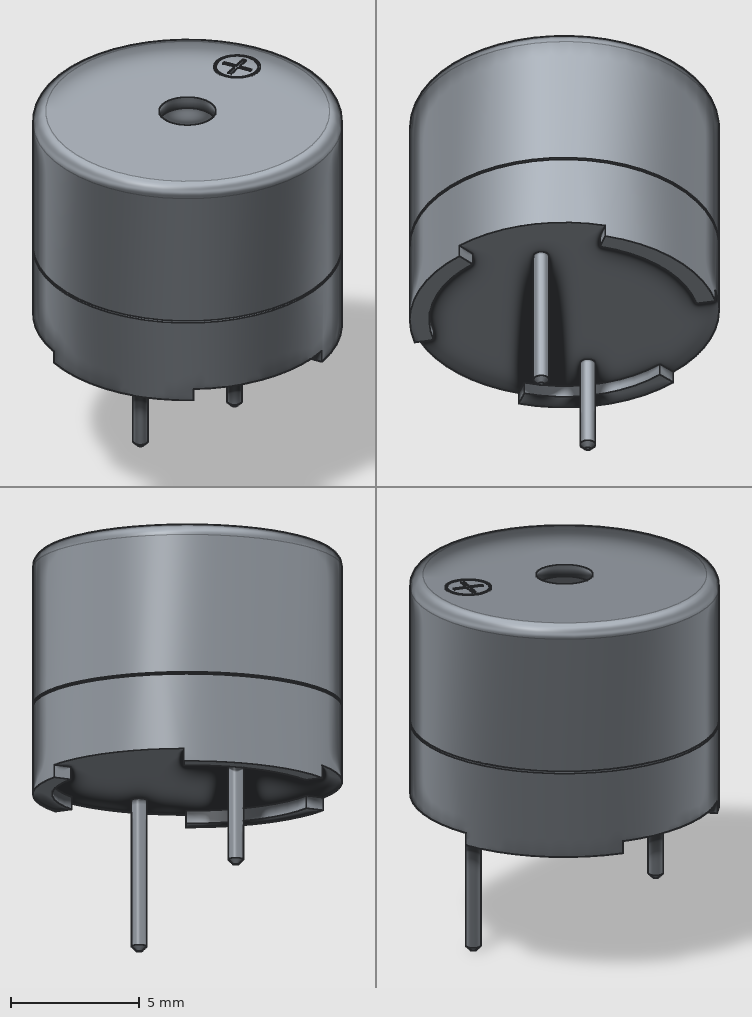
import cadquery as cq
import math

total_height = 15
body_diameter = 12
body_height = 9.5
top_edge_radius = 0.5

groove_diameter = 11.5
groove_bottom = 8.95
groove_width = 0.09

foot_count = 3
foot_height = 0.5
foot_inner_diameter = 10.5
foot_angle = 62
first_foot_center_angle = 30

sound_hole_diameter = 2.2
sound_hole_depth = 0.5

pin_diameter = 0.6
pin_offset = 3.8
pin_chamfer = 0.2
short_pin_tip = 2.0
pin_embed = 0.45

mark_offset = 4.0
mark_outer_diameter = 1.8
mark_inner_diameter = 1.65
plus_length = 1.2
plus_width = 0.15
mark_depth = 0.05

foot_bottom = total_height - body_height
base_bottom = foot_bottom + foot_height


def disc(diameter, bottom, height, y=0):
    cylinder = cq.Workplane("XY").circle(diameter / 2).extrude(height)
    return cylinder.translate((0, y, bottom))


def ring(outer_diameter, inner_diameter, bottom, height, y=0):
    return disc(outer_diameter, bottom, height, y).cut(disc(inner_diameter, bottom, height, y))


def make_body():
    body = disc(body_diameter, foot_bottom, body_height)
    body = body.faces(">Z").edges().fillet(top_edge_radius)
    return body.cut(ring(body_diameter, groove_diameter, groove_bottom, groove_width))


def make_foot_gap(center_angle):
    """Wedge with radial sides that clears the space between two neighbouring feet."""
    half_angle = math.radians(360 / foot_count - foot_angle) / 2
    reach = body_diameter
    x = reach * math.cos(half_angle)
    y = reach * math.sin(half_angle)
    wedge = cq.Workplane("XY").polyline([(0, 0), (x, -y), (x, y)]).close().extrude(foot_height)
    return wedge.rotate((0, 0, 0), (0, 0, 1), center_angle).translate((0, 0, foot_bottom))


def cut_feet(body):
    """Hollow the foot ring, then divide it into separate feet."""
    body = body.cut(disc(foot_inner_diameter, foot_bottom, foot_height))
    pitch = 360 / foot_count
    for index in range(foot_count):
        body = body.cut(make_foot_gap(first_foot_center_angle + (index + 0.5) * pitch))
    return body


def make_pin(y, tip):
    pin = disc(pin_diameter, tip, base_bottom + pin_embed - tip, y)
    return pin.faces("<Z").edges().chamfer(pin_chamfer)


def make_polarity_mark():
    bottom = total_height - mark_depth
    mark = ring(mark_outer_diameter, mark_inner_diameter, bottom, mark_depth, mark_offset)
    for size_x, size_y in ((plus_length, plus_width), (plus_width, plus_length)):
        bar = cq.Workplane("XY").rect(size_x, size_y).extrude(mark_depth)
        mark = mark.union(bar.translate((0, mark_offset, bottom)))
    return mark


result = cut_feet(make_body())
result = result.union(make_pin(pin_offset, 0))
result = result.union(make_pin(-pin_offset, short_pin_tip))
result = result.cut(disc(sound_hole_diameter, total_height - sound_hole_depth, sound_hole_depth))
result = result.cut(make_polarity_mark())